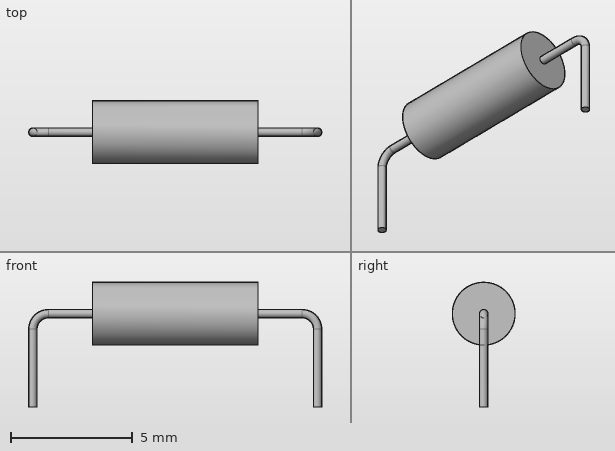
import cadquery as cq

overall_length = 12.04
body_diameter = 2.59
body_length = 6.8
lead_diameter = 0.35
bend_radius = 0.64
lead_drop = 3.84

body_end = body_length / 2
lead_x = (overall_length - lead_diameter) / 2
bend_start = lead_x - bend_radius


def make_body():
    """Plain cylinder centred on the origin."""
    return (
        cq.Workplane("YZ")
        .workplane(offset=-body_end)
        .circle(body_diameter / 2)
        .extrude(body_length)
    )


def make_lead(side):
    """Round wire from one body end, bent down; side is -1 or +1 along X."""
    centreline = (
        cq.Workplane("XZ")
        .moveTo(side * body_end, 0)
        .lineTo(side * bend_start, 0)
        .tangentArcPoint((side * lead_x, -bend_radius), relative=False)
        .lineTo(side * lead_x, -lead_drop)
    )
    return (
        cq.Workplane("YZ", origin=(side * body_end, 0, 0))
        .circle(lead_diameter / 2)
        .sweep(centreline)
    )


body = make_body()
leads = [make_lead(side) for side in (-1, 1)]

result = cq.Compound.makeCompound([body.val(), *[lead.val() for lead in leads]])